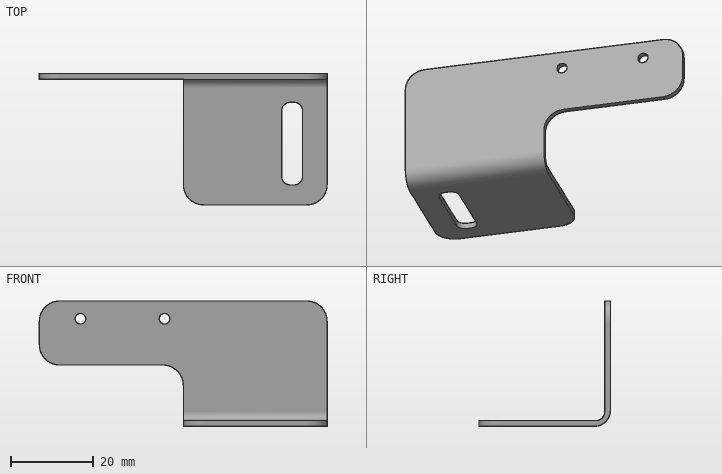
import cadquery as cq

length = 70.0
depth = 32.0
height = 30.5

thickness = 1.5
inner_bend_radius = 2.0
outer_bend_radius = 4.0
corner_radius = 5.0

flange_width = length / 2
flange_left = length - flange_width
arm_height = 15.6
arm_bottom = height - arm_height

hole_diameter = 2.5
hole_z = height - 4.35
hole_positions_x = (10.0, 30.45)

slot_width = 5.05
slot_length = 20.0
slot_corner_radius = 2.0
slot_x = length - 8.55
slot_y = -17.1


def bent_sheet():
    """L-shaped sheet: wall back face at y = 0, flange underside at z = 0."""
    profile = (
        cq.Workplane("YZ")
        .polyline([
            (0, 0),
            (0, height),
            (-thickness, height),
            (-thickness, thickness),
            (-depth, thickness),
            (-depth, 0),
        ])
        .close()
        .extrude(length)
    )
    inner_edge = cq.selectors.NearestToPointSelector((length / 2, -thickness, thickness))
    outer_edge = cq.selectors.NearestToPointSelector((length / 2, 0, 0))
    return (
        profile
        .edges(inner_edge).fillet(inner_bend_radius)
        .edges(outer_edge).fillet(outer_bend_radius)
    )


def wall_outline():
    """Wall with a long arm on the left, seen along Y, as deep as the part."""
    outline = (
        cq.Workplane("XZ")
        .polyline([
            (0, arm_bottom),
            (0, height),
            (length, height),
            (length, 0),
            (flange_left, 0),
            (flange_left, arm_bottom),
        ])
        .close()
        .extrude(depth)
    )
    selection_margin = 0.7
    inside_corner = cq.selectors.BoxSelector(
        (flange_left - selection_margin, -depth, arm_bottom - selection_margin),
        (flange_left + selection_margin, 0, arm_bottom + selection_margin),
    )
    return (
        outline
        .edges("|Y and (>Z or <X)").fillet(corner_radius)
        .edges(inside_corner).fillet(corner_radius)
    )


def flange_outline():
    """Plan outline that rounds the free corners of the flange."""
    wall_block = cq.Workplane("XY").box(length, thickness, height, centered=False)
    flange_block = (
        cq.Workplane("XY")
        .box(flange_width, depth, height, centered=False)
        .edges("|Z and <Y").fillet(corner_radius)
    )
    return (
        wall_block.translate((0, -thickness, 0))
        .union(flange_block.translate((flange_left, -depth, 0)))
    )


def wall_holes():
    return (
        cq.Workplane("XZ")
        .pushPoints([(x, hole_z) for x in hole_positions_x])
        .circle(hole_diameter / 2)
        .extrude(thickness)
    )


def flange_slot():
    return (
        cq.Workplane("XY")
        .center(slot_x, slot_y)
        .rect(slot_width, slot_length)
        .extrude(thickness)
        .edges("|Z").fillet(slot_corner_radius)
    )


result = (
    bent_sheet()
    .intersect(wall_outline())
    .intersect(flange_outline())
    .cut(wall_holes())
    .cut(flange_slot())
)